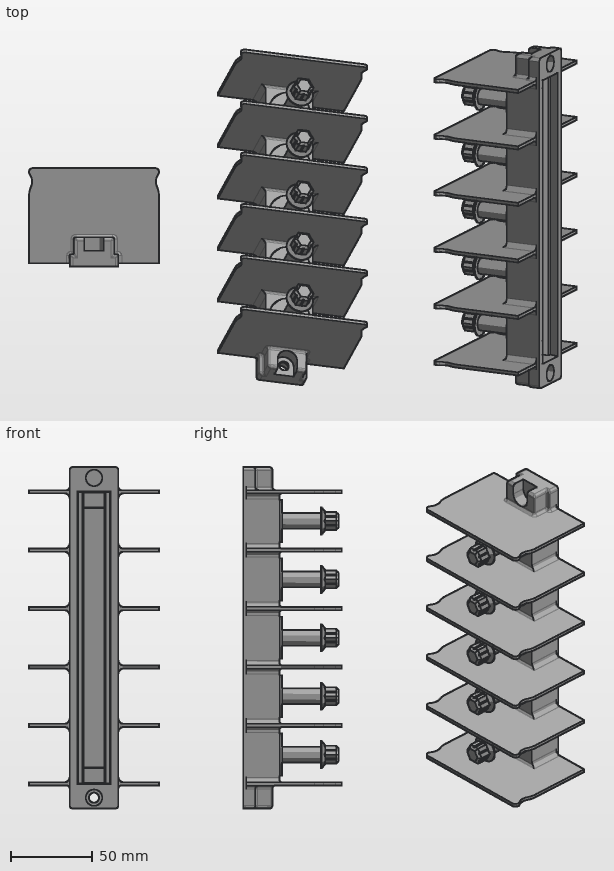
import cadquery as cq
import math

LENGTH = 210.2
BODY_WIDTH = 30.0
BODY_DEPTH = 22.5
BARRIER_WIDTH = 80.0
BARRIER_BACK = 60.7

BARRIER_COUNT = 6
BARRIER_PITCH = 36.0
BARRIER_THICKNESS = 2.0
BARRIER_FRONT = 2.0
BODY_FLARE = 3.2
END_FLARE = 1.9
BACK_FLARE = 1.3

GRIP_START = 43.7
GRIP_DEEPEST = 52.3
GRIP_DEPTH = 1.9
CORNER_RADIUS = 2.5
CORNER_START = BARRIER_BACK - CORNER_RADIUS

END_DEPTH = 18.0
END_NARROW_WIDTH = 24.8
END_STEP = 7.5
BACK_EDGE_RADIUS = 1.0
STEP_EDGE_RADIUS = 0.6
STEP_CORNER_RADIUS = 1.0
END_TIP_RADIUS = 2.0
HOLE_OFFSET = 98.4
COUNTERBORE_DIAMETER = 10.0
COUNTERBORE_DEPTH = 8.0
SCREW_HOLE_DIAMETER = 6.0
NUT_SLOT_WIDTH = 12.2
NUT_SLOT_FRONT = 9.7

POCKET_LENGTH = 180.4
POCKET_WIDTH = 20.8
POCKET_LEDGE = 5.0
POCKET_DRAFT = 7.0
CHANNEL_MOUTH = 14.5
CHANNEL_WIDTH = 12.5
CHANNEL_DEPTH = 14.0
STOP_FACE = 8.5
STOP_SPACING = 160.5

PAD_DIAMETER = 26.0
PAD_THICKNESS = 1.5
SHANK_DIAMETER = 9.9
FLANGE_SEAT = 47.7
FLANGE_RIM = 0.6
FLANGE_RADIUS = 8.5
FLANGE_TOP_RADIUS = 5.9
FLANGE_TOP = 50.5
HEAD_TOP = 58.9
HEAD_FLATS = 11.1
HEAD_CHAMFER = 1.7
GROOVE_WIDTH = 0.74
GROOVE_DEPTH = 0.5

BARRIER_SPAN = (BARRIER_COUNT - 1) * BARRIER_PITCH
BARRIER_HEIGHTS = [i * BARRIER_PITCH - BARRIER_SPAN / 2 for i in range(BARRIER_COUNT)]
STUD_HEIGHTS = [z + BARRIER_PITCH / 2 for z in BARRIER_HEIGHTS[:-1]]


def y_block(width, length, front, back):
    """Box centred on the Y axis between two Y positions."""
    return cq.Workplane("XY").box(width, back - front, length).translate((0, (front + back) / 2, 0))


def arc_middle(start, center, radius, end):
    """Point halfway along the arc from one point to another around a centre."""
    start_angle = math.atan2(start[1] - center[1], start[0] - center[0])
    end_angle = math.atan2(end[1] - center[1], end[0] - center[0])
    middle = (start_angle + end_angle) / 2
    return (center[0] + radius * math.cos(middle), center[1] + radius * math.sin(middle))


def s_curve_radii_sum(rise):
    """Sum of the two radii of a tangent S-curve that moves sideways by the grip depth."""
    return (rise**2 + GRIP_DEPTH**2) / (2 * GRIP_DEPTH)


def barrier_half():
    """Right half of a barrier plate, with a shallow finger grip blended into its side edge."""
    side = BARRIER_WIDTH / 2
    valley_x = side - GRIP_DEPTH
    valley_radius = s_curve_radii_sum(CORNER_START - GRIP_DEEPEST) - CORNER_RADIUS
    shoulder_radius = s_curve_radii_sum(GRIP_DEEPEST - GRIP_START) - valley_radius

    shoulder_center = (side - shoulder_radius, GRIP_START)
    valley_center = (valley_x + valley_radius, GRIP_DEEPEST)
    corner_center = (side - CORNER_RADIUS, CORNER_START)

    def inflection(center, radius):
        share = radius / (radius + valley_radius)
        return tuple(c + share * (v - c) for c, v in zip(center, valley_center))

    lower = inflection(shoulder_center, shoulder_radius)
    upper = inflection(corner_center, CORNER_RADIUS)
    corner_end = (corner_center[0], BARRIER_BACK)
    return (
        cq.Workplane("XY")
        .moveTo(0, BARRIER_FRONT)
        .lineTo(side, BARRIER_FRONT)
        .lineTo(side, GRIP_START)
        .threePointArc(arc_middle((side, GRIP_START), shoulder_center, shoulder_radius, lower), lower)
        .threePointArc((valley_x, GRIP_DEEPEST), upper)
        .threePointArc(arc_middle(upper, corner_center, CORNER_RADIUS, corner_end), corner_end)
        .lineTo(0, BARRIER_BACK)
        .close()
        .extrude(BARRIER_THICKNESS / 2, both=True)
    )


def end_bar():
    """Full-length bar with the stepped cross-section of the mounting ends."""
    bar = y_block(BODY_WIDTH, LENGTH, 0, END_STEP)
    bar = bar.union(y_block(END_NARROW_WIDTH, LENGTH, 0, END_DEPTH))
    bar = bar.faces("<Z or >Z").edges("not <Y").fillet(END_TIP_RADIUS)
    bar = bar.edges("|Z").edges("(<X or >X) and (not <Y)").fillet(STEP_EDGE_RADIUS)
    return bar.edges("|Z").edges(">Y").fillet(BACK_EDGE_RADIUS)


def level_edges(solid, heights, half_width, front, back):
    """Horizontal edges at the given heights that lie within a width and between two Y positions."""
    tol = 0.02
    found = []
    for edge in solid.edges().vals():
        box = edge.BoundingBox()
        level = box.zlen < tol and any(abs(box.center.z - z) < tol for z in heights)
        inside = max(-box.xmin, box.xmax) < half_width + tol
        between = box.ymin > front - tol and box.ymax < back + tol
        on_plate_front = box.ymax < BARRIER_FRONT + tol
        if level and inside and between and not on_plate_front:
            found.append(edge)
    return solid.newObject(found)


def round_step_corners(solid):
    """Round the inner corners of the steps in the mounting ends."""
    margin = 0.2
    low = (-END_NARROW_WIDTH / 2 - margin, END_STEP - margin, -LENGTH / 2)
    high = (END_NARROW_WIDTH / 2 + margin, END_STEP + margin, LENGTH / 2)
    corners = solid.edges("|Z").edges(cq.selectors.BoxSelector(low, high))
    return corners.fillet(STEP_CORNER_RADIUS)


def flared_body():
    """Body and barrier plates, blended together behind the front edge of the plates."""
    body = end_bar().union(y_block(BODY_WIDTH, BARRIER_SPAN, 0, BODY_DEPTH))
    front_layer = body.intersect(y_block(BODY_WIDTH, LENGTH, 0, BARRIER_FRONT))
    solid = body.cut(front_layer)
    half = barrier_half()
    plate = half.union(half.mirror("YZ"))
    for z in BARRIER_HEIGHTS:
        solid = solid.union(plate.translate((0, 0, z)))

    half_plate = BARRIER_THICKNESS / 2
    lower_faces = [z - half_plate for z in BARRIER_HEIGHTS]
    upper_faces = [z + half_plate for z in BARRIER_HEIGHTS]
    inner_faces = lower_faces[1:] + upper_faces[:-1]
    outer_faces = [lower_faces[0], upper_faces[-1]]
    side = BODY_WIDTH / 2
    solid = level_edges(solid, outer_faces, side, BARRIER_FRONT, END_DEPTH).fillet(END_FLARE)
    body_edges = level_edges(solid, inner_faces, side, BARRIER_FRONT, BODY_DEPTH)
    solid = body_edges.filter(lambda edge: edge.BoundingBox().ylen > BODY_FLARE).fillet(BODY_FLARE)
    solid = level_edges(solid, inner_faces, side + BODY_FLARE, BODY_DEPTH, BODY_DEPTH).fillet(BACK_FLARE)
    return round_step_corners(solid).union(front_layer)


def symmetric_prism(plane, outline, length):
    """Prism from a symmetric outline given as (Y position, half width) pairs."""
    loop = outline + [(y, -half) for y, half in reversed(outline)]
    points = [(half, y) if plane == "XY" else (y, half) for y, half in loop]
    return cq.Workplane(plane).polyline(points).close().extrude(length / 2, both=True)


def front_pocket():
    """Wide recess over a channel with sloped walls, with a raised stop at each end."""
    slope = math.tan(math.radians(POCKET_DRAFT))
    recess_half = POCKET_WIDTH / 2
    cross_section = [
        (0, recess_half),
        (POCKET_LEDGE, recess_half - POCKET_LEDGE * slope),
        (POCKET_LEDGE, CHANNEL_MOUTH / 2),
        (STOP_FACE, CHANNEL_WIDTH / 2),
        (CHANNEL_DEPTH, CHANNEL_WIDTH / 2),
    ]
    pocket_half = POCKET_LENGTH / 2
    stop_half = STOP_SPACING / 2
    lengthwise_section = [
        (0, pocket_half),
        (STOP_FACE, pocket_half - STOP_FACE * slope),
        (STOP_FACE, stop_half),
        (CHANNEL_DEPTH, stop_half - (CHANNEL_DEPTH - STOP_FACE) * slope),
    ]
    channel = symmetric_prism("XY", cross_section, POCKET_LENGTH)
    return channel.intersect(symmetric_prism("YZ", lengthwise_section, POCKET_WIDTH))


def y_cylinder(diameter, front, back, z):
    """Cylinder along Y between two Y positions, at a given height."""
    return cq.Workplane("XZ", origin=(0, front, z)).circle(diameter / 2).extrude(front - back)


def nut_slot():
    """Round-bottomed slot in the back of the upper mounting end, open at the tip."""
    slot = y_cylinder(NUT_SLOT_WIDTH, NUT_SLOT_FRONT, BODY_DEPTH, HOLE_OFFSET)
    opening = y_block(NUT_SLOT_WIDTH, LENGTH / 2 - HOLE_OFFSET, NUT_SLOT_FRONT, BODY_DEPTH)
    return slot.union(opening.translate((0, 0, (LENGTH / 2 + HOLE_OFFSET) / 2)))


def stud_head():
    """Hexagonal head with a chamfered tip and a fine groove along the middle of each flat."""
    head = (
        cq.Workplane("XZ", origin=(0, FLANGE_SEAT, 0))
        .polygon(6, HEAD_FLATS / math.cos(math.pi / 6))
        .extrude(FLANGE_SEAT - HEAD_TOP)
        .faces(">Y")
        .chamfer(HEAD_CHAMFER)
    )
    groove = y_block(GROOVE_WIDTH, 2 * GROOVE_DEPTH, FLANGE_TOP, HEAD_TOP)
    groove = groove.translate((0, 0, HEAD_FLATS / 2))
    for i in range(6):
        head = head.cut(groove.rotate((0, 0, 0), (0, 1, 0), 60 * i))
    return head


def stud():
    """Terminal pad with a flanged stud, along Y at z = 0."""
    pad_back = BODY_DEPTH + PAD_THICKNESS
    pad = y_cylinder(PAD_DIAMETER, BODY_DEPTH - PAD_THICKNESS, pad_back, 0)
    shank = y_cylinder(SHANK_DIAMETER, BODY_DEPTH, FLANGE_TOP, 0)
    flange = (
        cq.Workplane("XY")
        .polyline([
            (0, FLANGE_SEAT),
            (FLANGE_RADIUS, FLANGE_SEAT),
            (FLANGE_RADIUS, FLANGE_SEAT + FLANGE_RIM),
            (FLANGE_TOP_RADIUS, FLANGE_TOP),
            (0, FLANGE_TOP),
        ])
        .close()
        .revolve(360, (0, 0, 0), (0, 1, 0))
    )
    return pad.union(shank).union(flange).union(stud_head())


result = flared_body().cut(front_pocket())

for side in (-1, 1):
    result = result.cut(y_cylinder(COUNTERBORE_DIAMETER, 0, COUNTERBORE_DEPTH, side * HOLE_OFFSET))
result = result.cut(y_cylinder(SCREW_HOLE_DIAMETER, 0, BODY_DEPTH, -HOLE_OFFSET))
result = result.cut(nut_slot()).cut(nut_slot().mirror("XY"))

for z in STUD_HEIGHTS:
    result = result.union(stud().translate((0, 0, z)))